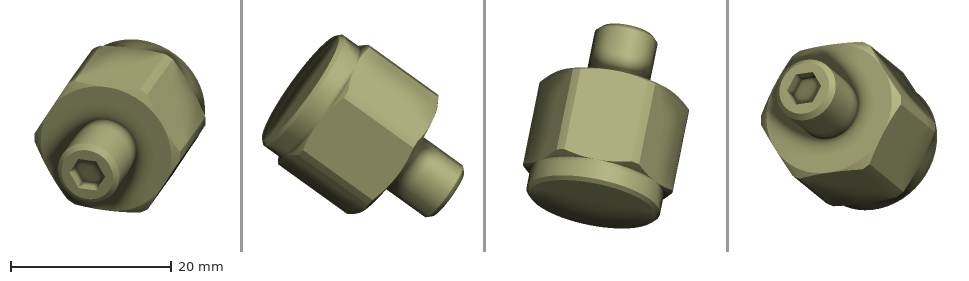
import cadquery as cq
import math

total_length = 23.0
stud_length = 8.0
collar_length = 3.0
hex_length = total_length - stud_length - collar_length
hex_across_flats = 17.0
hex_corner_diameter = 19.0
hex_chamfer_angle = 30.0
collar_chamfer = 0.45
stud_diameter = 8.0
stud_chamfer = 0.65
socket_across_flats = 4.0
socket_depth = 2.0

stud_tip = -stud_length
collar_end = hex_length + collar_length


def plane_at(y):
    """Plane across the axis at y, with its normal along +Y."""
    return cq.Workplane(cq.Plane(origin=(0, y, 0), xDir=(1, 0, 0), normal=(0, 1, 0)))


def hex_prism(y, across_flats, length):
    """Hexagonal prism with two corners on the X direction."""
    across_corners = across_flats / math.cos(math.radians(30))
    return plane_at(y).polygon(6, across_corners).extrude(length)


def hex_body():
    """Hexagon trimmed by a turned envelope that bevels the corners at both ends."""
    face_radius = hex_across_flats / 2
    corner_radius = hex_corner_diameter / 2
    bevel = (corner_radius - face_radius) * math.tan(math.radians(hex_chamfer_angle))
    envelope = (
        cq.Workplane("XY")
        .polyline([
            (0, 0),
            (face_radius, 0),
            (corner_radius, bevel),
            (corner_radius, hex_length - bevel),
            (face_radius, hex_length),
            (0, hex_length),
        ])
        .close()
        .revolve(360, (0, 0, 0), (0, 1, 0))
    )
    return hex_prism(0, hex_across_flats, hex_length).intersect(envelope)


def collar():
    """Round collar as wide as the hexagon's flats, chamfered at its free end."""
    body = plane_at(hex_length).circle(hex_across_flats / 2).extrude(collar_end - hex_length)
    return body.faces(">Y").chamfer(collar_chamfer)


def stud():
    """Round stud with a chamfered tip."""
    body = plane_at(stud_tip).circle(stud_diameter / 2).extrude(stud_length)
    return body.faces("<Y").chamfer(stud_chamfer)


socket = hex_prism(stud_tip, socket_across_flats, socket_depth)

result = hex_body().union(collar()).union(stud()).cut(socket)